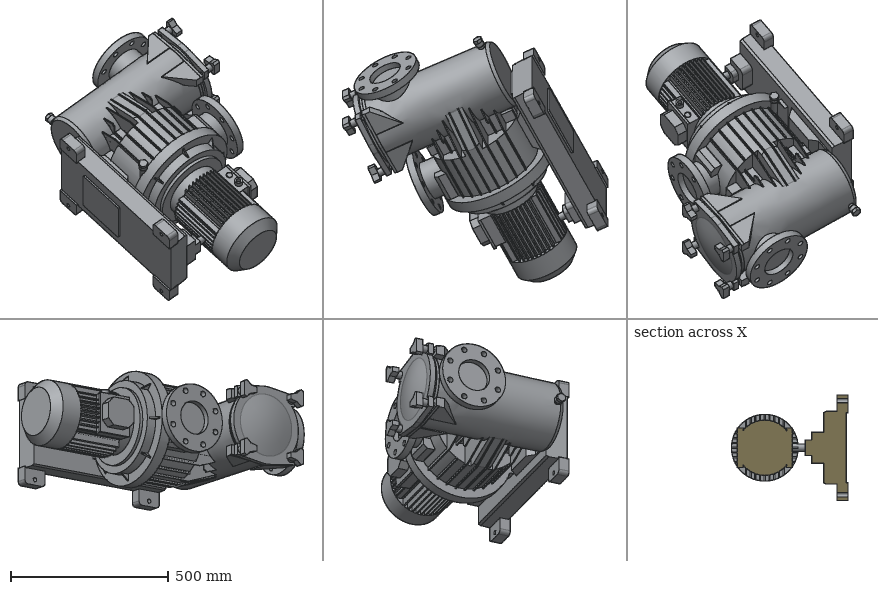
import cadquery as cq
import math


TOTAL_LENGTH = 859.0
TOTAL_HEIGHT = 603.5
SHAFT_Y = 265.0
STRAINER_X = 168.5

FLANGE_D = 220.0
FLANGE_THICK = 24.5
FLANGE_BORE_D = 108.0
FLANGE_BORE_DEPTH = 20.0
FLANGE_BOLT_CIRCLE_D = 180.0
FLANGE_BOLT_D = 18.0
FLANGE_BOLTS = 8
NECK_D = 125.0
SUCTION_Y = 426.0
DISCHARGE_X = 407.0
DISCHARGE_TOP_Y = 500.5

POT_BOTTOM_Y = 85.5
POT_CHAMFER_HEIGHT = 11.5
POT_BOTTOM_R = 105.0
POT_LOWER_R = 111.5
POT_UPPER_R = 116.5
POT_TOP_Y = 542.0

RIM_R = 119.0
RIM_Y = 524.0
RIM_THICK = 9.5
RIM_EAR_X = 116.5
RIM_TANGENT_X = 12.0
CLAMP_R = 127.5
CLAMP_THICK = 18.5
CLAMP_EAR_X = 112.0
CLAMP_TANGENT_X = 17.5
EAR_INNER_Z = 77.0
LID_CROWN_Y = 575.0
LID_SPHERE_R = 360.0
LID_EDGE_Y = 556.0

GUSSET_EDGE_Y = 506.0
GUSSET_TIP_X = 35.0
GUSSET_TIP_Y = 429.0
GUSSET_EDGE_Z = 110.0
GUSSET_TIP_Z = 114.5

KNOB_X = 98.0
KNOB_Z = 96.0
KNOB_HEIGHT = 22.5
KNOB_NOSE_REACH = 31.0
KNOB_NOSE_HALF_WIDTH = 8.5
KNOB_NECK_X = 8.0
KNOB_NECK_HALF_WIDTH = 14.0
KNOB_WING_X = 9.0
KNOB_WING_REACH = 28.0
KNOB_BACK_X = 18.0
KNOB_BACK_HALF_WIDTH = 23.0
KNOB_STEM_D = 25.0
KNOB_STUD_D = 12.0

CASE_X = 312.0
CASE_R = 153.0
DISC_X = 459.0
DISC_THICK = 38.0
DISC_R = 369.55 / 2
HOUSING_STEPS = [(150.0, 530.0), (125.5, 541.0), (185.0 / 2, 578.0)]
BACK_GUSSETS = 8
BACK_GUSSET_R = 172.0
BACK_GUSSET_LENGTH = 25.0
BACK_GUSSET_THICK = 5.0

RIB_PITCH = 31.7
RIBS = 8
RIB_THICK = 4.0
RIB_R = 159.0
RIB_SLOPE_END_X = 295.0
WEB_START_X = 150.0
RIB_SLOPE_DEG = 19.0

NOTCHED_RIBS = (1, RIBS - 2)
NOTCH_X = 256.0
NOTCH_FLOOR_Z = 86.0
NOTCH_CORNER_R = 10.0

BRIDGE_HALF_WIDTH = 30.0
BRIDGE_SLOPE_END_X = 298.0
BRIDGE_SLOPE_DEG = 17.0
PASSAGE_HALF_HEIGHT = 110.0
PASSAGE_HALF_DEPTH = 76.0
END_PLATE_THICK = 33.0
END_PLATE_HALF_DEPTH = 45.0
END_PLATE_HALF_HEIGHT = 151.0
FOOT_STRIP_X = 265.0
FOOT_STRIP_LENGTH = 69.0
FOOT_STRIP_Y = 107.0
FOOT_STRIP_HEIGHT = 15.0
FOOT_STRIP_HALF_DEPTH = 30.0

ROOT_X = 369.0
ROOT_BOTTOM_Y = 394.0
ROOT_SHOULDER_Y = 421.0
ROOT_TOP_Y = 435.0
ROOT_HALF_DEPTH = 86.0
ROOT_TOP_HALF_DEPTH = 74.0

MOTOR_X = 577.5
MOTOR_CORE_R = 88.0
MOTOR_R = 106.3
COWL_X = 759.0
COWL_CHAMFER_X = 830.0
COWL_END_R = 78.0
FIN_PITCH = 15.0
FINS_EACH_SIDE = 4
FIN_THICK = 4.0
CORNER_PAD_INNER_Y = 69.0
CORNER_PAD_HALF_DEPTH = 63.0

BOX_LENGTH = 107.0
BOX_BOTTOM_Y = 338.5
BOX_TOP_Y = 375.0
BOX_HALF_DEPTH = 64.0
BOX_LID_LENGTH = 113.0
BOX_LID_THICK = 8.0
BOX_LID_OVERHANG = 1.0
BOX_CAP_X = 583.0
BOX_CAP_LENGTH = 100.0
BOX_CAP_HEIGHT = 33.0
BOX_CAP_HALF_DEPTH = 46.0
BOX_CAP_CHAMFER = 20.0
GLAND_Y = 360.5
GLAND_X = 655.5
GLAND_D = 25.0
GLAND_BORE_D = 13.0
GLAND_LENGTH = 16.0
BLIND_ENTRY_X = 610.5
BLIND_ENTRY_D = 20.0
BLIND_ENTRY_DEPTH = 3.0

BASE_X = 205.0
BASE_LENGTH = 530.0
BASE_HALF_WIDTH = 116.0
BASE_BOTTOM_Y = 6.0
BASE_TOP_Y = 78.0
BASE_TOP_INSET = 5.0
BASE_EDGE_HEIGHT = 9.0
BASE_EDGE_WIDTH = 4.0
PANEL_X = 316.0
PANEL_LENGTH = 171.5
PANEL_HALF_WIDTH = 78.0
PANEL_CORNER_R = 5.0
FOOT_LENGTH = 80.0
FOOT_HEIGHT = 36.0
FOOT_OUTER_Z = 168.0
FOOT_INNER_Z = 111.0
FOOT_CORNER_R = 13.0
FOOT_HOLE_D = 13.0
FOOT_HOLE_Z = 150.0
PAD_LENGTH = 73.5
PAD_HEIGHT = 5.0
SADDLE_HALF_DEPTH = 78.0
SADDLE_TOP_Y = 107.0
SADDLE_BOTTOM_X = (275.0, 438.5)
SADDLE_TOP_X = (302.0, 411.0)
SADDLE_WEB_HALF_DEPTH = 15.0
SEAT_OVERLAP = 3.0
DISC_LEG_OVERLAP = 14.0
DISC_LEG_HALF_DEPTH = 60.0
SUPPORT_END_X = 728.5
SUPPORT_STEPS = [(68.5, 38.0, 50.0, 15.0), (45.0, 20.5, 25.0, 14.0)]
SUPPORT_POST_X = 711.0
SUPPORT_POST_D = 25.0

PLUG_HEX_D = 30.0
DRAIN_Y = 110.0
DRAIN_TIP_X = 22.0
DRAIN_STEPS = [(27.0, 15.0), (20.0, 30.0)]
DRAIN_HEX_LENGTH = 11.0
FILLER_X = 453.5
FILLER_Y = 134.5
FILLER_TOP_Z = 166.0
FILLER_HEX_LENGTH = 9.5
FILLER_STEPS = [(27.0, 15.5), (20.0, 70.0)]


def box(x_range, y_range, z_range):
    """Axis-aligned box between the given limits."""
    sizes = [limits[1] - limits[0] for limits in (x_range, y_range, z_range)]
    corner = (x_range[0], y_range[0], z_range[0])
    return cq.Workplane("XY").box(*sizes, centered=False).translate(corner)


def cylinder(start, direction, diameter, length):
    """Cylinder from a start point along a unit direction."""
    solid = cq.Solid.makeCylinder(diameter / 2, length, cq.Vector(*start), cq.Vector(*direction))
    return cq.Workplane(solid)


def shaft_cylinder(x_start, x_end, radius):
    """Cylinder on the shaft axis."""
    return cylinder((x_start, SHAFT_Y, 0), (1, 0, 0), 2 * radius, x_end - x_start)


def plan_prism(points, y_start, y_end):
    """Prism along Y from an outline of (x, z) points."""
    prism = cq.Workplane("XZ").polyline(points).close().extrude(y_start - y_end)
    return prism.translate((0, y_start, 0))


def union_all(solids):
    """Join a list of solids into one."""
    joined = solids[0]
    for solid in solids[1:]:
        joined = joined.union(solid)
    return joined


def pipe_flange():
    """Flange disc on the XY plane, facing -Z, bored and drilled."""
    return (
        cq.Workplane("XY")
        .circle(FLANGE_D / 2)
        .extrude(FLANGE_THICK)
        .cut(cq.Workplane("XY").circle(FLANGE_BORE_D / 2).extrude(FLANGE_BORE_DEPTH))
        .cut(
            cq.Workplane("XY")
            .polarArray(FLANGE_BOLT_CIRCLE_D / 2, 180 / FLANGE_BOLTS, 360, FLANGE_BOLTS)
            .circle(FLANGE_BOLT_D / 2)
            .extrude(FLANGE_THICK)
        )
    )


def suction_port():
    """Flange facing -X with its neck running into the pot."""
    flange = pipe_flange().rotate((0, 0, 0), (0, 1, 0), 90).translate((0, SUCTION_Y, 0))
    neck_length = STRAINER_X - FLANGE_THICK
    neck = cylinder((FLANGE_THICK, SUCTION_Y, 0), (1, 0, 0), NECK_D, neck_length)
    return flange.union(neck)


def discharge_port():
    """Flange facing +Y with its neck and the block around the neck root."""
    flange = pipe_flange().rotate((0, 0, 0), (1, 0, 0), 90)
    flange = flange.translate((DISCHARGE_X, DISCHARGE_TOP_Y, 0))
    neck_top_y = DISCHARGE_TOP_Y - FLANGE_THICK
    neck = cylinder((DISCHARGE_X, SHAFT_Y, 0), (0, 1, 0), NECK_D, neck_top_y - SHAFT_Y)
    root_half = [
        (ROOT_BOTTOM_Y, ROOT_HALF_DEPTH),
        (ROOT_SHOULDER_Y, ROOT_HALF_DEPTH),
        (ROOT_TOP_Y, ROOT_TOP_HALF_DEPTH),
    ]
    root_outline = root_half + [(y, -z) for y, z in reversed(root_half)]
    root = cq.Workplane("YZ").polyline(root_outline).close().extrude(DISC_X - ROOT_X)
    return union_all([neck, flange, root.translate((ROOT_X, 0, 0))])


def eared_ring(radius, tangent_x, ear_x, y_start, thickness):
    """Round plate with four ears whose long sides are tangent to the round part."""
    tangent_z = math.sqrt(radius**2 - tangent_x**2)
    ear_z = tangent_z - (ear_x - tangent_x) * tangent_x / tangent_z
    plate = cylinder((0, y_start, 0), (0, 1, 0), 2 * radius, thickness)
    for side in (1, -1):
        outline = [
            (-tangent_x, side * tangent_z),
            (tangent_x, side * tangent_z),
            (ear_x, side * ear_z),
            (ear_x, side * EAR_INNER_Z),
            (-ear_x, side * EAR_INNER_Z),
            (-ear_x, side * ear_z),
        ]
        plate = plate.union(plan_prism(outline, y_start, y_start + thickness))
    return plate.translate((STRAINER_X, 0, 0))


def pot():
    """Tapered pot with a chamfered bottom and a domed lid."""
    lid_edge_r = math.sqrt(LID_SPHERE_R**2 - (LID_SPHERE_R - LID_CROWN_Y + LID_EDGE_Y) ** 2)
    half_edge = lid_edge_r / 2
    half_edge_y = LID_CROWN_Y - LID_SPHERE_R + math.sqrt(LID_SPHERE_R**2 - half_edge**2)
    profile = (
        cq.Workplane("XY")
        .moveTo(0, POT_BOTTOM_Y)
        .lineTo(POT_BOTTOM_R, POT_BOTTOM_Y)
        .lineTo(POT_LOWER_R, POT_BOTTOM_Y + POT_CHAMFER_HEIGHT)
        .lineTo(POT_UPPER_R, RIM_Y)
        .lineTo(POT_UPPER_R, LID_EDGE_Y)
        .lineTo(lid_edge_r, LID_EDGE_Y)
        .threePointArc((half_edge, half_edge_y), (0, LID_CROWN_Y))
        .close()
    )
    return profile.revolve(360, (0, 0, 0), (0, 1, 0)).translate((STRAINER_X, 0, 0))


def pot_gusset():
    """Gusset under the rim ear on the +X, +Z corner, relative to the pot axis."""
    side_outline = [
        (GUSSET_TIP_X, RIM_Y),
        (RIM_EAR_X, RIM_Y),
        (RIM_EAR_X, GUSSET_EDGE_Y),
        (GUSSET_TIP_X, GUSSET_TIP_Y),
    ]
    plan_outline = [
        (GUSSET_TIP_X, EAR_INNER_Z),
        (RIM_EAR_X, EAR_INNER_Z),
        (RIM_EAR_X, GUSSET_EDGE_Z),
        (GUSSET_TIP_X, GUSSET_TIP_Z),
    ]
    side = cq.Workplane("XY").polyline(side_outline).close().extrude(GUSSET_TIP_Z)
    return side.intersect(plan_prism(plan_outline, GUSSET_TIP_Y, RIM_Y))


def knob():
    """Winged knob with stem and stud on the +X, +Z corner; its nose points to -X."""
    knob_y = TOTAL_HEIGHT - KNOB_HEIGHT
    half_outline = [
        (-KNOB_NOSE_REACH, KNOB_NOSE_HALF_WIDTH),
        (-KNOB_NECK_X, KNOB_NECK_HALF_WIDTH),
        (KNOB_WING_X, KNOB_WING_REACH),
        (KNOB_BACK_X, KNOB_BACK_HALF_WIDTH),
    ]
    outline = half_outline + [(x, -z) for x, z in reversed(half_outline)]
    grip = plan_prism(outline, knob_y, TOTAL_HEIGHT)
    stem = cylinder((0, POT_TOP_Y, 0), (0, 1, 0), KNOB_STEM_D, knob_y - POT_TOP_Y)
    stud = cylinder((0, RIM_Y, 0), (0, 1, 0), KNOB_STUD_D, POT_TOP_Y - RIM_Y)
    return union_all([grip, stem, stud]).translate((KNOB_X, 0, KNOB_Z))


def strainer():
    """Complete strainer with rim, clamp ring, and a gusset and knob at each corner."""
    rim = eared_ring(RIM_R, RIM_TANGENT_X, RIM_EAR_X, RIM_Y, RIM_THICK)
    clamp = eared_ring(CLAMP_R, CLAMP_TANGENT_X, CLAMP_EAR_X, POT_TOP_Y, CLAMP_THICK)
    corner = pot_gusset().union(knob())
    pair = corner.union(corner.mirror("YZ"))
    corners = pair.union(pair.mirror("XY")).translate((STRAINER_X, 0, 0))
    return union_all([pot(), rim, clamp, corners])


def sloped_web(y_center, width, top_z, slope_end_x, slope_deg, end_x):
    """Web parallel to Z, level next to the disc and sloping down towards the pot."""
    drop = (slope_end_x - WEB_START_X) * math.tan(math.radians(slope_deg))
    upper = [
        (WEB_START_X, top_z - drop),
        (slope_end_x, top_z),
        (end_x, top_z),
    ]
    outline = upper + [(x, -z) for x, z in reversed(upper)]
    web = cq.Workplane("XZ").polyline(outline).close().extrude(width / 2, both=True)
    return web.translate((0, y_center, 0))


def passage():
    """Sloped bridge, passage and end plate between pot and case."""
    bridge = sloped_web(
        SHAFT_Y, 2 * BRIDGE_HALF_WIDTH, CASE_R, BRIDGE_SLOPE_END_X, BRIDGE_SLOPE_DEG, CASE_X
    )
    bridge = bridge.intersect(shaft_cylinder(WEB_START_X, CASE_X, CASE_R))
    tube = box(
        (STRAINER_X, CASE_X),
        (SHAFT_Y - PASSAGE_HALF_HEIGHT, SHAFT_Y + PASSAGE_HALF_HEIGHT),
        (-PASSAGE_HALF_DEPTH, PASSAGE_HALF_DEPTH),
    )
    plate = box(
        (CASE_X - END_PLATE_THICK, CASE_X),
        (SHAFT_Y - END_PLATE_HALF_HEIGHT, SHAFT_Y + END_PLATE_HALF_HEIGHT),
        (-END_PLATE_HALF_DEPTH, END_PLATE_HALF_DEPTH),
    )
    strip = box(
        (FOOT_STRIP_X, FOOT_STRIP_X + FOOT_STRIP_LENGTH),
        (FOOT_STRIP_Y, FOOT_STRIP_Y + FOOT_STRIP_HEIGHT),
        (-FOOT_STRIP_HALF_DEPTH, FOOT_STRIP_HALF_DEPTH),
    )
    return union_all([tube, bridge, plate, strip])


def rib_notch():
    """Cutter removing a rib between pot stub and case, leaving a rounded stub end."""
    slope = math.tan(math.radians(RIB_SLOPE_DEG))
    notch_offset = (RIBS / 2 - NOTCHED_RIBS[0] - 0.5) * RIB_PITCH
    stub_z = math.sqrt(RIB_R**2 - notch_offset**2) - (RIB_SLOPE_END_X - NOTCH_X) * slope
    profile = (
        cq.Workplane("XZ")
        .moveTo(NOTCH_X, NOTCH_FLOOR_Z)
        .lineTo(NOTCH_X, stub_z - NOTCH_CORNER_R)
        .radiusArc((NOTCH_X - NOTCH_CORNER_R, stub_z), NOTCH_CORNER_R)
        .lineTo(NOTCH_X - NOTCH_CORNER_R, RIB_R)
        .lineTo(CASE_X, RIB_R)
        .lineTo(CASE_X, NOTCH_FLOOR_Z)
        .close()
        .extrude(RIB_THICK, both=True)
    )
    return profile.union(profile.mirror("XY"))


def case():
    """Case cylinder, large disc, stepped housing and the ribs along the case."""
    disc_back_x = DISC_X + DISC_THICK
    body = shaft_cylinder(CASE_X, DISC_X, CASE_R)
    body = body.union(shaft_cylinder(DISC_X, disc_back_x, DISC_R))
    step_start_x = disc_back_x
    for radius, step_end_x in HOUSING_STEPS:
        body = body.union(shaft_cylinder(step_start_x, step_end_x, radius))
        step_start_x = step_end_x
    for index in range(RIBS):
        offset = (index - (RIBS - 1) / 2) * RIB_PITCH
        top_z = math.sqrt(RIB_R**2 - offset**2)
        rib = sloped_web(SHAFT_Y + offset, RIB_THICK, top_z, RIB_SLOPE_END_X, RIB_SLOPE_DEG, DISC_X)
        if index in NOTCHED_RIBS:
            rib = rib.cut(rib_notch().translate((0, SHAFT_Y + offset, 0)))
        body = body.union(rib)
    return body


def back_gussets():
    """Triangular gussets behind the disc, evenly spaced around the shaft."""
    disc_back_x = DISC_X + DISC_THICK
    housing_r = HOUSING_STEPS[0][0]
    outline = [
        (disc_back_x, 0),
        (disc_back_x, BACK_GUSSET_R),
        (disc_back_x + BACK_GUSSET_LENGTH, housing_r),
        (disc_back_x + BACK_GUSSET_LENGTH, 0),
    ]
    web = cq.Workplane("XY").polyline(outline).close().extrude(BACK_GUSSET_THICK / 2, both=True)
    webs = [
        web.rotate((0, 0, 0), (1, 0, 0), index * 360 / BACK_GUSSETS)
        for index in range(BACK_GUSSETS)
    ]
    return union_all(webs).translate((0, SHAFT_Y, 0))


def motor():
    """Finned motor body with corner pads and a chamfered fan cowl."""
    fin_slabs = []
    for index in range(-FINS_EACH_SIDE, FINS_EACH_SIDE + 1):
        edges = (index * FIN_PITCH - FIN_THICK / 2, index * FIN_PITCH + FIN_THICK / 2)
        across = (-MOTOR_R, MOTOR_R)
        fin_slabs.append(box((MOTOR_X, COWL_X), edges, across))
        fin_slabs.append(box((MOTOR_X, COWL_X), across, edges))
    fins = union_all(fin_slabs).translate((0, SHAFT_Y, 0))
    fins = fins.intersect(shaft_cylinder(MOTOR_X, COWL_X, MOTOR_R))
    core = shaft_cylinder(MOTOR_X, COWL_X, MOTOR_CORE_R)
    cowl_outline = [
        (COWL_X, 0),
        (COWL_X, MOTOR_R),
        (COWL_CHAMFER_X, MOTOR_R),
        (TOTAL_LENGTH, COWL_END_R),
        (TOTAL_LENGTH, 0),
    ]
    cowl = cq.Workplane("XY").polyline(cowl_outline).close().revolve(360, (0, 0, 0), (1, 0, 0))
    pads = []
    for side in (1, -1):
        y_range = sorted((SHAFT_Y + side * CORNER_PAD_INNER_Y, SHAFT_Y + side * MOTOR_CORE_R))
        z_range = (-CORNER_PAD_HALF_DEPTH, CORNER_PAD_HALF_DEPTH)
        pads.append(box((MOTOR_X, COWL_X), y_range, z_range))
    return union_all([core, fins, cowl.translate((0, SHAFT_Y, 0))] + pads)


def terminal_box():
    """Terminal box with lid, chamfered cap, cable gland and one blind entry."""
    lid_half_depth = BOX_HALF_DEPTH + BOX_LID_OVERHANG
    lid_top_y = BOX_TOP_Y + BOX_LID_THICK
    body = box(
        (MOTOR_X, MOTOR_X + BOX_LENGTH),
        (BOX_BOTTOM_Y, BOX_TOP_Y),
        (-BOX_HALF_DEPTH, BOX_HALF_DEPTH),
    )
    lid = box(
        (MOTOR_X, MOTOR_X + BOX_LID_LENGTH),
        (BOX_TOP_Y, lid_top_y),
        (-lid_half_depth, lid_half_depth),
    )
    cap = box(
        (BOX_CAP_X, BOX_CAP_X + BOX_CAP_LENGTH),
        (lid_top_y, lid_top_y + BOX_CAP_HEIGHT),
        (-BOX_CAP_HALF_DEPTH, BOX_CAP_HALF_DEPTH),
    )
    cap = cap.edges("|Y").chamfer(BOX_CAP_CHAMFER)
    gland = cylinder((GLAND_X, GLAND_Y, BOX_HALF_DEPTH), (0, 0, 1), GLAND_D, GLAND_LENGTH)
    gland_bore = cylinder((GLAND_X, GLAND_Y, BOX_HALF_DEPTH), (0, 0, 1), GLAND_BORE_D, GLAND_LENGTH)
    entry_z = BOX_HALF_DEPTH - BLIND_ENTRY_DEPTH
    entry = cylinder((BLIND_ENTRY_X, GLAND_Y, entry_z), (0, 0, 1), BLIND_ENTRY_D, BLIND_ENTRY_DEPTH)
    return union_all([body, lid, cap, gland]).cut(gland_bore).cut(entry)


def foot(x_start, side):
    """Drilled base foot on one Z side, with two rounded outer corners."""
    z_range = sorted((side * FOOT_INNER_Z, side * FOOT_OUTER_Z))
    block = box((x_start, x_start + FOOT_LENGTH), (0, FOOT_HEIGHT), z_range)
    outer_face = ">Z" if side > 0 else "<Z"
    block = block.faces(outer_face).edges("|Y").fillet(FOOT_CORNER_R)
    hole_start = (x_start + FOOT_LENGTH / 2, 0, side * FOOT_HOLE_Z)
    return block.cut(cylinder(hole_start, (0, 1, 0), FOOT_HOLE_D, FOOT_HEIGHT))


def base():
    """Base block with sloped ends and bevelled long edges, underside panel and four feet."""
    base_end_x = BASE_X + BASE_LENGTH
    top_start_x = BASE_X + BASE_TOP_INSET
    side_outline = [
        (BASE_X, BASE_BOTTOM_Y),
        (top_start_x, BASE_TOP_Y),
        (base_end_x - BASE_TOP_INSET, BASE_TOP_Y),
        (base_end_x, BASE_BOTTOM_Y),
    ]
    body = cq.Workplane("XY").polyline(side_outline).close().extrude(BASE_HALF_WIDTH, both=True)
    end_half = [
        (BASE_BOTTOM_Y, BASE_HALF_WIDTH),
        (BASE_TOP_Y - BASE_EDGE_HEIGHT, BASE_HALF_WIDTH),
        (BASE_TOP_Y, BASE_HALF_WIDTH - BASE_EDGE_WIDTH),
    ]
    end_outline = end_half + [(y, -z) for y, z in reversed(end_half)]
    end_prism = cq.Workplane("YZ").polyline(end_outline).close().extrude(base_end_x)
    body = body.intersect(end_prism)
    panel = box(
        (PANEL_X, PANEL_X + PANEL_LENGTH),
        (0, BASE_BOTTOM_Y),
        (-PANEL_HALF_WIDTH, PANEL_HALF_WIDTH),
    )
    panel = panel.edges("|Y").fillet(PANEL_CORNER_R)
    pad = box(
        (top_start_x, top_start_x + PAD_LENGTH),
        (BASE_TOP_Y, BASE_TOP_Y + PAD_HEIGHT),
        (-PANEL_HALF_WIDTH, PANEL_HALF_WIDTH),
    )
    feet_x = (BASE_X, base_end_x - FOOT_LENGTH)
    feet = [foot(x_start, side) for x_start in feet_x for side in (1, -1)]
    return union_all([body, panel, pad] + feet)


def supports():
    """Saddle under the case, leg under the disc and stepped stand under the motor."""
    saddle_outline = [
        (SADDLE_BOTTOM_X[0], BASE_TOP_Y),
        (SADDLE_TOP_X[0], SADDLE_TOP_Y),
        (SADDLE_TOP_X[1], SADDLE_TOP_Y),
        (SADDLE_BOTTOM_X[1], BASE_TOP_Y),
    ]
    saddle = cq.Workplane("XY").polyline(saddle_outline).close()
    saddle = saddle.extrude(SADDLE_HALF_DEPTH, both=True)
    case_seat = box(
        SADDLE_TOP_X,
        (SADDLE_TOP_Y, SHAFT_Y - CASE_R + SEAT_OVERLAP),
        (-SADDLE_WEB_HALF_DEPTH, SADDLE_WEB_HALF_DEPTH),
    )
    leg = box(
        (DISC_X, DISC_X + DISC_THICK),
        (BASE_TOP_Y, SHAFT_Y - DISC_R + DISC_LEG_OVERLAP),
        (-DISC_LEG_HALF_DEPTH, DISC_LEG_HALF_DEPTH),
    )
    solids = [saddle, case_seat, leg]
    step_y = BASE_TOP_Y
    for length, height, half_depth, corner_r in SUPPORT_STEPS:
        step = box(
            (SUPPORT_END_X - length, SUPPORT_END_X),
            (step_y, step_y + height),
            (-half_depth, half_depth),
        )
        solids.append(step.faces("<X").edges("|Y").fillet(corner_r))
        step_y += height
    post_start = (SUPPORT_POST_X, step_y, 0)
    post_length = SHAFT_Y - MOTOR_CORE_R - step_y
    solids.append(cylinder(post_start, (0, 1, 0), SUPPORT_POST_D, post_length))
    return union_all(solids)


def plug(hex_length, steps):
    """Hex-headed plug with its tip on the XY plane, growing towards -Z."""
    body = cq.Workplane("XY").polygon(6, PLUG_HEX_D).extrude(-hex_length)
    depth = hex_length
    for diameter, length in steps:
        body = body.union(cylinder((0, 0, -depth), (0, 0, -1), diameter, length))
        depth += length
    return body


def plugs():
    """Drain plug on the pot and filler plug on the case."""
    drain = plug(DRAIN_HEX_LENGTH, DRAIN_STEPS).rotate((0, 0, 0), (0, 1, 0), -90)
    drain = drain.translate((DRAIN_TIP_X, DRAIN_Y, 0))
    filler = plug(FILLER_HEX_LENGTH, FILLER_STEPS)
    return drain, filler.translate((FILLER_X, FILLER_Y, FILLER_TOP_Z))


drain_plug, filler_plug = plugs()

result = union_all(
    [
        case(),
        passage(),
        strainer(),
        suction_port(),
        discharge_port(),
        back_gussets(),
        motor(),
        terminal_box(),
        base(),
        supports(),
        drain_plug,
        filler_plug,
    ]
)